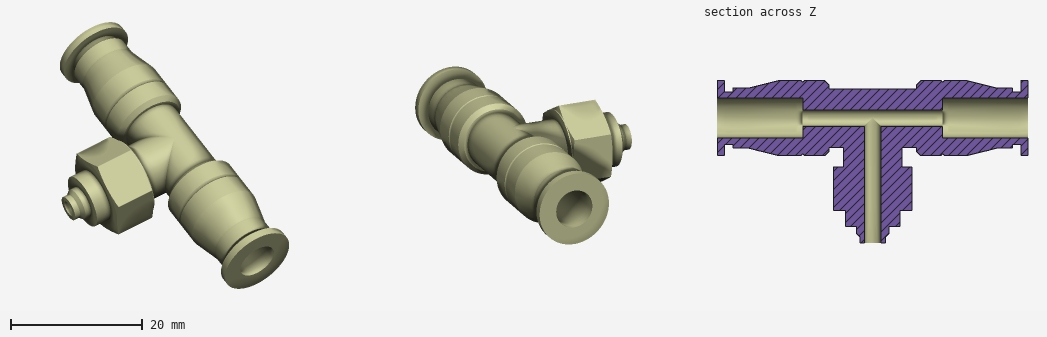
import cadquery as cq
import math

run_half_length = 23.65
flange_diameter = 11.5
flange_inner_x = 22.45
neck_diameter = 8.05
collar_diameter = 9.2
collar_outer_x = 21.3
collar_inner_x = 18.87
barrel_diameter = 11.5
barrel_outer_x = 14.2
barrel_inner_x = 6.6
barrel_chamfer = 0.7
groove_center_x = 10.62
groove_width = 0.55
groove_depth = groove_width / 2
tube_diameter = 9.0
flat_width = 1.0

nut_start = 7.35
nut_end = 14.05
nut_across_flats = 12.0
nut_face_diameter = nut_across_flats
nut_chamfer_angle = 16.0
washer_thickness = 0.15
spigot_diameter = 8.4
spigot_end = 16.5
nozzle_diameter = 5.0
nozzle_taper_start = 17.5
nozzle_taper_end = 18.1
nozzle_tip_diameter = 3.92
branch_length = 19.0

bore_diameter = 2.4
socket_diameter = 6.0
socket_bottom_x = groove_center_x


def branch_cylinder(diameter, start, end):
    """Cylinder on the branch axis between two distances from the run axis."""
    return cq.Workplane("XZ").workplane(offset=start).circle(diameter / 2).extrude(end - start)


def push_in_end():
    """Solid push-in end on the +X side, revolved about the run axis."""
    barrel_radius = barrel_diameter / 2
    groove_inner_x = groove_center_x - groove_width / 2
    groove_outer_x = groove_center_x + groove_width / 2
    profile = [
        (barrel_inner_x, 0),
        (barrel_inner_x, barrel_radius - barrel_chamfer),
        (barrel_inner_x + barrel_chamfer, barrel_radius),
        (groove_inner_x, barrel_radius),
        (groove_center_x, barrel_radius - groove_depth),
        (groove_outer_x, barrel_radius),
        (barrel_outer_x, barrel_radius),
        (collar_inner_x, collar_diameter / 2),
        (collar_outer_x, collar_diameter / 2),
        (collar_outer_x, neck_diameter / 2),
        (flange_inner_x, neck_diameter / 2),
        (flange_inner_x, flange_diameter / 2),
        (run_half_length, flange_diameter / 2),
        (run_half_length, 0),
    ]
    return cq.Workplane("XY").polyline(profile).close().revolve(360, (0, 0, 0), (1, 0, 0))


def run_tube():
    """Centre tube with a narrow flat along its -Y side."""
    tube_radius = tube_diameter / 2
    flat_y = -math.sqrt(tube_radius**2 - (flat_width / 2) ** 2)
    tube = cq.Workplane("YZ").circle(tube_radius).extrude(barrel_inner_x, both=True)
    keep_box = cq.Workplane("XY").box(2 * barrel_inner_x, tube_radius - flat_y, tube_diameter)
    return tube.intersect(keep_box.translate((0, (tube_radius + flat_y) / 2, 0)))


def hex_nut():
    """Hexagon with corners on +-Z and coned ends, with a thin round washer face toward the run."""
    across_corners = nut_across_flats / math.cos(math.pi / 6)
    corner_radius = across_corners / 2
    face_radius = nut_face_diameter / 2
    chamfer_length = (corner_radius - face_radius) * math.tan(math.radians(nut_chamfer_angle))
    hex_start = nut_start + washer_thickness
    hexagon = (
        cq.Workplane("XZ")
        .workplane(offset=hex_start)
        .transformed(rotate=(0, 0, 90))
        .polygon(6, across_corners)
        .extrude(nut_end - hex_start)
    )
    envelope_profile = [
        (0, -hex_start),
        (face_radius, -hex_start),
        (corner_radius, -hex_start - chamfer_length),
        (corner_radius, -nut_end + chamfer_length),
        (face_radius, -nut_end),
        (0, -nut_end),
    ]
    envelope = cq.Workplane("XY").polyline(envelope_profile).close().revolve(360, (0, 0, 0), (0, 1, 0))
    washer_face = branch_cylinder(nut_face_diameter, nut_start, hex_start)
    return hexagon.intersect(envelope).union(washer_face)


def spigot_and_nozzle():
    """Spigot beyond the nut, stepping and tapering down to the nozzle tip."""
    profile = [
        (0, -nut_end),
        (spigot_diameter / 2, -nut_end),
        (spigot_diameter / 2, -spigot_end),
        (nozzle_diameter / 2, -spigot_end),
        (nozzle_diameter / 2, -nozzle_taper_start),
        (nozzle_tip_diameter / 2, -nozzle_taper_end),
        (nozzle_tip_diameter / 2, -branch_length),
        (0, -branch_length),
    ]
    return cq.Workplane("XY").polyline(profile).close().revolve(360, (0, 0, 0), (0, 1, 0))


def bores():
    """Through bore of the run, branch bore meeting it, and a tube socket in each end."""
    cutter = cq.Workplane("YZ").circle(bore_diameter / 2).extrude(run_half_length, both=True)
    cutter = cutter.union(branch_cylinder(bore_diameter, 0, branch_length))
    socket = (
        cq.Workplane("YZ")
        .workplane(offset=socket_bottom_x)
        .circle(socket_diameter / 2)
        .extrude(run_half_length - socket_bottom_x)
    )
    return cutter.union(socket).union(socket.mirror("YZ"))


right_end = push_in_end()
body = run_tube().union(branch_cylinder(tube_diameter, 0, nut_start))
body = body.union(right_end).union(right_end.mirror("YZ"))
body = body.union(hex_nut()).union(spigot_and_nozzle())
result = body.cut(bores())